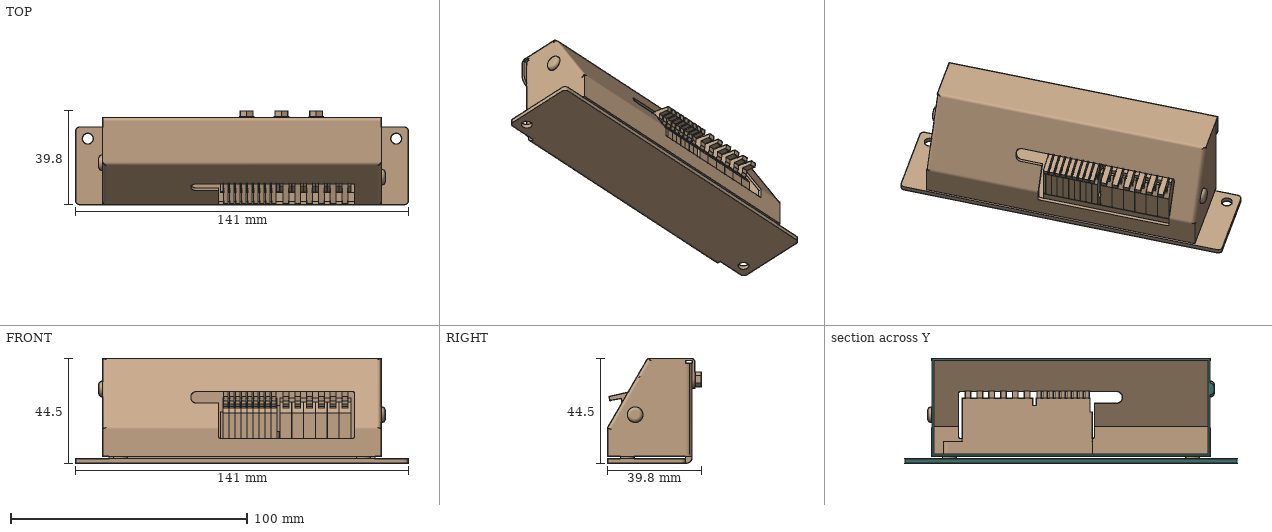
import cadquery as cq
import math

BASE_LENGTH = 141.0
BASE_DEPTH = 33.0
BASE_THICKNESS = 2.0
BASE_CORNER_RADIUS = 1.8
EAR_HOLE_DIAMETER = 4.5
EAR_HOLE_SPACING = 130.6
EAR_HOLE_Y = 28.0

SPACER_DIAMETER = 6.0
SPACER_SPACING = 103.0
SPACER_Y = 8.4

SHEET = 1.0
FRONT_SHEET = 1.5
HOUSING_LENGTH = 118.0
HOUSING_DEPTH = 35.8
HOUSING_BOTTOM = 3.0
TOTAL_HEIGHT = 44.5
FRONT_HEIGHT = 15.1
SLOPE_ANGLE = 60.0
TOP_BEND_RADIUS = 1.7
LOWER_BEND_RADIUS = 2.4
SLOPE_SIDE_RADIUS = 1.7
BACK_BEND_RADIUS = 2.6
BACK_WALL_TOP = 42.4

FLANGE_BACK = 37.0
FLANGE_BOTTOM = 31.7
FLANGE_BEND_RADIUS = 1.6
FLANGE_CORNER_RADIUS = 4.0

FLAP_TOP = 42.5
FLAP_BOTTOM = 15.5
FLAP_FREE_CORNERS = [(19.8, 41.8), (23.0, 33.2), (13.2, 15.6), (3.9, 13.7)]

WINDOW_LEFT = -9.9
WINDOW_RIGHT = 47.6
WINDOW_BOTTOM = 10.6
WINDOW_TOP = 30.4
WINDOW_CORNER_RADIUS = 0.7
WINDOW_CUT_DEPTH = 12.0
SLOT_LEFT = -21.7
SLOT_BOTTOM = 25.5
SLOT_ROUNDING = 0.98

FINE_LEFT = -8.1
FINE_PITCH = 2.54
FINE_POLES = 9
FINE_LEVER_WIDTH = 1.9
COARSE_LEFT = 16.1
COARSE_PITCH = 5.0
COARSE_POLES = 6
COARSE_LEVER_WIDTH = 2.5
BLOCK_FRONT = 5.4
BLOCK_BACK = 14.0
BLOCK_FACE_TOP = 21.3
BLOCK_SHOULDER_Y = 8.0
BLOCK_SHOULDER = 25.9
BLOCK_STEP_Y = 9.2
BLOCK_TOP = 27.6
POLE_GAP = 0.08
LEVER_POCKET_BOTTOM = 23.4
LEVER_FOOT = 24.0
BOARD_TOP = 9.2
BOARD_RIGHT = 54.0
BOARD_OVERHANG = 0.2
BOARD_CORNER_RADIUS = 2.0
PART_SETBACK = 0.3
BRIDGE_GAP = 0.4
END_PLATE_THICKNESS = 0.9
END_PLATE_TOP = 21.8
BRIDGE_TOP = 13.5
REAR_BRIDGE_TOP = 24.6

LEVER_PROFILE = [
    (0.6, 28.3),
    (1.0, 26.3),
    (1.6, 26.7),
    (5.9, 27.4),
    (6.0, 25.2),
    (6.8, LEVER_FOOT),
    (11.0, LEVER_FOOT),
    (11.0, 30.7),
    (8.8, 30.2),
    (1.3, 28.5),
]

HEX_FLATS = 5.5
HEX_BACK = 39.8
HEX_FIRST_X = 2.0
HEX_PITCH = 14.7
HEX_COUNT = 3
HEX_Z = 35.6
WASHER_DIAMETER = 6.2
WASHER_THICKNESS = 0.3

DOME_DIAMETER = 6.6
DOME_FLAT_DIAMETER = 3.3
DOME_HEIGHT = 1.7
DOME_RIM = 0.4
LEFT_SCREW = (17.8, 31.5)
RIGHT_SCREW = (11.7, 20.6)

HALF_LENGTH = HOUSING_LENGTH / 2
SLOPE_TAN = math.tan(math.radians(SLOPE_ANGLE))
SLOPE_TOP_Y = (TOTAL_HEIGHT - FRONT_HEIGHT) / SLOPE_TAN
FLOOR_TOP = HOUSING_BOTTOM + SHEET


def box(x0, x1, y0, y1, z0, z1):
    """Block between two corners."""
    return cq.Workplane("XY").box(x1 - x0, y1 - y0, z1 - z0, centered=False).translate((x0, y0, z0))


def side_profile(points, x0, x1):
    """Closed (y, z) outline extruded from x0 to x1."""
    return cq.Workplane("YZ").polyline(points).close().extrude(x1 - x0).translate((x0, 0, 0))


def base_plate():
    plate = box(-BASE_LENGTH / 2, BASE_LENGTH / 2, 0, BASE_DEPTH, 0, BASE_THICKNESS)
    plate = plate.edges("|Z").fillet(BASE_CORNER_RADIUS)
    holes = (
        cq.Workplane("XY")
        .pushPoints([(-EAR_HOLE_SPACING / 2, EAR_HOLE_Y), (EAR_HOLE_SPACING / 2, EAR_HOLE_Y)])
        .circle(EAR_HOLE_DIAMETER / 2)
        .extrude(BASE_THICKNESS)
    )
    bend_half_length = HALF_LENGTH - BACK_BEND_RADIUS
    bend = box(
        -bend_half_length, bend_half_length, BASE_DEPTH, HOUSING_DEPTH, 0, HOUSING_BOTTOM
    )
    bend = bend.edges("|X and >Y and <Z").fillet(LOWER_BEND_RADIUS)
    spacers = (
        cq.Workplane("XY", origin=(0, 0, BASE_THICKNESS))
        .pushPoints([(-SPACER_SPACING / 2, SPACER_Y), (SPACER_SPACING / 2, SPACER_Y)])
        .circle(SPACER_DIAMETER / 2)
        .extrude(HOUSING_BOTTOM - BASE_THICKNESS)
    )
    return plate.cut(holes).union(bend).union(spacers)


def slope_side_trim(side):
    """Material outside the rounded edge between the slope and one side wall."""
    slope_length = (TOTAL_HEIGHT - FRONT_HEIGHT) / math.sin(math.radians(SLOPE_ANGLE))
    plane = cq.Plane(
        origin=(side * HALF_LENGTH, 0, FRONT_HEIGHT),
        xDir=(-side, 0, 0),
        normal=(0, math.cos(math.radians(SLOPE_ANGLE)), math.sin(math.radians(SLOPE_ANGLE))),
    )
    radius = SLOPE_SIDE_RADIUS
    inward = side * radius
    near_arc = radius * (1 - math.sqrt(0.5))
    return (
        cq.Workplane(plane)
        .moveTo(0, 0)
        .lineTo(radius, 0)
        .threePointArc((near_arc, -side * near_arc), (0, -inward))
        .close()
        .extrude(slope_length)
    )


def housing_outside():
    outside = side_profile(
        [
            (0, HOUSING_BOTTOM),
            (0, FRONT_HEIGHT),
            (SLOPE_TOP_Y, TOTAL_HEIGHT),
            (HOUSING_DEPTH, TOTAL_HEIGHT),
            (HOUSING_DEPTH, HOUSING_BOTTOM),
        ],
        -HALF_LENGTH,
        HALF_LENGTH,
    )
    outside = outside.edges("|Z and >Y").fillet(BACK_BEND_RADIUS)
    slope_foot = cq.selectors.NearestToPointSelector((0, 0, FRONT_HEIGHT))
    outside = outside.edges(slope_foot).fillet(LOWER_BEND_RADIUS)
    slope_head = cq.selectors.NearestToPointSelector((0, SLOPE_TOP_Y, TOTAL_HEIGHT))
    outside = outside.edges(slope_head).fillet(TOP_BEND_RADIUS)
    for side in (-1, 1):
        outside = outside.cut(slope_side_trim(side))
    return outside


def housing_cavity():
    slope_drop = SHEET / math.cos(math.radians(SLOPE_ANGLE))
    inner_front_top = FRONT_HEIGHT + FRONT_SHEET * SLOPE_TAN - slope_drop
    inner_top = TOTAL_HEIGHT - SHEET
    inner_slope_y = FRONT_SHEET + (inner_top - inner_front_top) / SLOPE_TAN
    inner_back = HOUSING_DEPTH - SHEET
    return side_profile(
        [
            (FRONT_SHEET, FLOOR_TOP),
            (FRONT_SHEET, inner_front_top),
            (inner_slope_y, inner_top),
            (inner_back, inner_top),
            (inner_back, FLOOR_TOP),
        ],
        -HALF_LENGTH + SHEET,
        HALF_LENGTH - SHEET,
    )


def back_flange():
    """Lid edge running over the top of the back wall and down behind it."""
    corner_y = HOUSING_DEPTH - BACK_BEND_RADIUS
    flange = box(-HALF_LENGTH, HALF_LENGTH, corner_y, FLANGE_BACK, FLANGE_BOTTOM, TOTAL_HEIGHT)
    flange = flange.edges("|X and >Y and >Z").fillet(FLANGE_BEND_RADIUS)
    flange = flange.edges("|Y and <Z").fillet(FLANGE_CORNER_RADIUS)
    return flange.cut(
        box(
            -HALF_LENGTH,
            HALF_LENGTH,
            corner_y,
            HOUSING_DEPTH,
            FLANGE_BOTTOM,
            TOTAL_HEIGHT - SHEET,
        )
    )


def window():
    slot_radius = (WINDOW_TOP - SLOT_BOTTOM) / 2
    opening = box(
        WINDOW_LEFT, WINDOW_RIGHT, 0, WINDOW_CUT_DEPTH, WINDOW_BOTTOM, WINDOW_TOP
    )
    opening = opening.edges("|Y").edges(">X or <Z").fillet(WINDOW_CORNER_RADIUS)
    slot = box(
        SLOT_LEFT, WINDOW_LEFT + slot_radius, 0, WINDOW_CUT_DEPTH, SLOT_BOTTOM, WINDOW_TOP
    )
    slot = slot.edges("|Y and <X").fillet(slot_radius * SLOT_ROUNDING)
    return opening.union(slot)


def housing():
    back_gap = box(
        -HALF_LENGTH,
        HALF_LENGTH,
        HOUSING_DEPTH - BACK_BEND_RADIUS,
        HOUSING_DEPTH,
        BACK_WALL_TOP,
        TOTAL_HEIGHT,
    )
    shell = housing_outside().cut(housing_cavity()).cut(back_gap)
    return shell.union(back_flange()).cut(window())


def terminal_block(left, pitch, poles, lever_width):
    right = left + pitch * poles
    block = side_profile(
        [
            (BLOCK_FRONT, FLOOR_TOP),
            (BLOCK_FRONT, BLOCK_FACE_TOP),
            (BLOCK_SHOULDER_Y, BLOCK_SHOULDER),
            (BLOCK_STEP_Y, BLOCK_SHOULDER),
            (BLOCK_STEP_Y, BLOCK_TOP),
            (BLOCK_BACK, BLOCK_TOP),
            (BLOCK_BACK, FLOOR_TOP),
        ],
        left,
        right,
    )
    for pole in range(1, poles):
        joint = left + pole * pitch
        block = block.cut(
            box(
                joint - POLE_GAP / 2,
                joint + POLE_GAP / 2,
                BLOCK_FRONT,
                BLOCK_STEP_Y,
                FLOOR_TOP,
                BLOCK_TOP,
            )
        )
    for pole in range(poles):
        middle = left + (pole + 0.5) * pitch
        lever_left = middle - lever_width / 2
        lever_right = middle + lever_width / 2
        pocket = box(
            lever_left,
            lever_right,
            BLOCK_FRONT,
            BLOCK_SHOULDER_Y,
            LEVER_POCKET_BOTTOM,
            LEVER_FOOT,
        )
        lever = side_profile(LEVER_PROFILE, lever_left, lever_right)
        block = block.cut(pocket).union(lever)
    return block


def terminals():
    fine = terminal_block(FINE_LEFT, FINE_PITCH, FINE_POLES, FINE_LEVER_WIDTH)
    coarse = terminal_block(COARSE_LEFT, COARSE_PITCH, COARSE_POLES, COARSE_LEVER_WIDTH)
    fine_right = FINE_LEFT + FINE_PITCH * FINE_POLES
    setback_front = BLOCK_FRONT + PART_SETBACK
    end_plate_left = FINE_LEFT - END_PLATE_THICKNESS
    end_plate = box(
        end_plate_left, FINE_LEFT, setback_front, BLOCK_BACK, FLOOR_TOP, END_PLATE_TOP
    )
    bridge = box(
        fine_right, COARSE_LEFT - BRIDGE_GAP, setback_front, BLOCK_BACK, FLOOR_TOP, BRIDGE_TOP
    )
    rear_bridge = box(
        fine_right, COARSE_LEFT, BLOCK_STEP_Y, BLOCK_BACK, FLOOR_TOP, REAR_BRIDGE_TOP
    )
    board = box(
        end_plate_left, BOARD_RIGHT, BLOCK_FRONT - BOARD_OVERHANG, BLOCK_BACK, FLOOR_TOP, BOARD_TOP
    )
    board = board.edges("|Z and >X").fillet(BOARD_CORNER_RADIUS)
    return fine.union(coarse).union(end_plate).union(bridge).union(rear_bridge).union(board)


def hex_heads():
    """Row of hexagon heads on washers, a corner of each pointing up."""
    centres = [(HEX_Z, HEX_FIRST_X + i * HEX_PITCH) for i in range(HEX_COUNT)]
    plane = cq.Plane(origin=(0, FLANGE_BACK, 0), xDir=(0, 0, 1), normal=(0, 1, 0))
    across_corners = HEX_FLATS / math.cos(math.radians(30))
    heads = (
        cq.Workplane(plane)
        .pushPoints(centres)
        .polygon(6, across_corners)
        .extrude(HEX_BACK - FLANGE_BACK)
    )
    washers = (
        cq.Workplane(plane).pushPoints(centres).circle(WASHER_DIAMETER / 2).extrude(WASHER_THICKNESS)
    )
    return heads.union(washers)


def dome_head(side, centre):
    """Domed screw head with a flat end, standing on one side wall."""
    rim_radius = DOME_DIAMETER / 2
    flat_radius = DOME_FLAT_DIAMETER / 2
    middle_radius = flat_radius + (rim_radius - flat_radius) * math.sin(math.radians(45))
    middle_height = DOME_RIM + (DOME_HEIGHT - DOME_RIM) * math.sin(math.radians(45))
    head = (
        cq.Workplane("XY")
        .moveTo(0, 0)
        .lineTo(0, rim_radius)
        .lineTo(DOME_RIM, rim_radius)
        .threePointArc((middle_height, middle_radius), (DOME_HEIGHT, flat_radius))
        .lineTo(DOME_HEIGHT, 0)
        .close()
        .revolve(360, (0, 0, 0), (1, 0, 0))
    )
    if side < 0:
        head = head.mirror("YZ")
    return head.translate((side * HALF_LENGTH, centre[0], centre[1]))


def slope_bend_y(z):
    """Depth at which the rounded edge of the slope runs into the flat side wall."""
    bend_width = SLOPE_SIDE_RADIUS / math.sin(math.radians(SLOPE_ANGLE))
    return (z - FRONT_HEIGHT) / SLOPE_TAN + bend_width


def side_flap(x0, x1):
    """Lid flap between x0 and x1, in the thickness of a side wall."""
    corners = [
        (slope_bend_y(FLAP_TOP), FLAP_TOP),
        *FLAP_FREE_CORNERS,
        (slope_bend_y(FLAP_BOTTOM), FLAP_BOTTOM),
    ]
    return side_profile(corners, x0, x1)


def front_sheet():
    """Upright front sheet, whose ends show on the side walls."""
    lower_bend_length = LOWER_BEND_RADIUS * math.tan(math.radians(90 - SLOPE_ANGLE) / 2)
    sheet_top = FRONT_HEIGHT - lower_bend_length
    sheet = box(-HALF_LENGTH, HALF_LENGTH, 0, FRONT_SHEET, HOUSING_BOTTOM, sheet_top)
    return sheet.cut(window())


def lid_top():
    """Flat top of the lid, whose ends show on the side walls."""
    top_bend_length = TOP_BEND_RADIUS * math.tan(math.radians(SLOPE_ANGLE) / 2)
    return box(
        -HALF_LENGTH,
        HALF_LENGTH,
        SLOPE_TOP_Y + top_bend_length,
        FLANGE_BACK - FLANGE_BEND_RADIUS,
        TOTAL_HEIGHT - SHEET,
        TOTAL_HEIGHT,
    )


assembly = (
    base_plate()
    .union(housing())
    .union(terminals())
    .union(hex_heads())
    .union(dome_head(-1, LEFT_SCREW))
    .union(dome_head(1, RIGHT_SCREW))
)
flush_sheets = [
    side_flap(-HALF_LENGTH, -HALF_LENGTH + SHEET),
    side_flap(HALF_LENGTH - SHEET, HALF_LENGTH),
    front_sheet(),
    lid_top(),
]
result = assembly
for sheet in flush_sheets:
    result = result.union(sheet, clean=False)